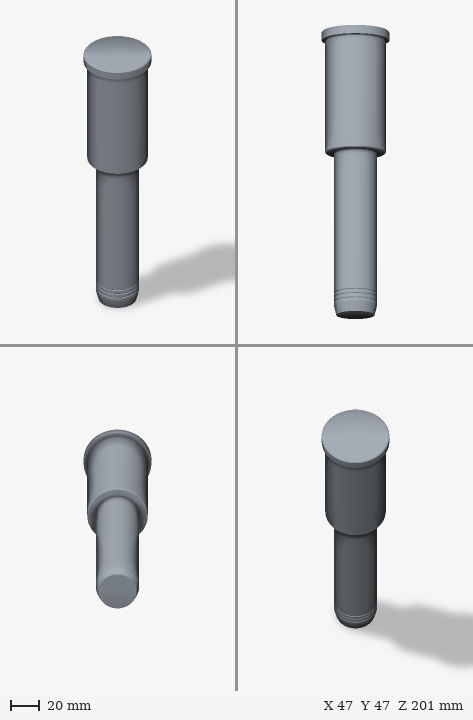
import cadquery as cq

total_length = 201.0
head_radius = 23.5
head_height = 6.0
body_radius = 21.0
body_bottom = 115.0
stem_radius = 14.97
edge_chamfer = 0.6

nose_height = 7.0
nose_tip_radius = 13.3
nose_mid_radius = 14.3

groove_depth = 0.5
groove_width = 1.0
groove_pitch = 3.0
groove_count = 3
lowest_groove_center = 9.5

head_bottom = total_length - head_height


def make_blank():
    """Revolve the stepped outline with its bulged nose around Z."""
    return (
        cq.Workplane("XZ")
        .lineTo(nose_tip_radius, 0)
        .threePointArc((nose_mid_radius, nose_height / 2), (stem_radius, nose_height))
        .lineTo(stem_radius, body_bottom)
        .lineTo(body_radius - edge_chamfer, body_bottom)
        .lineTo(body_radius, body_bottom + edge_chamfer)
        .lineTo(body_radius, head_bottom)
        .lineTo(head_radius, head_bottom)
        .lineTo(head_radius, total_length - edge_chamfer)
        .lineTo(head_radius - edge_chamfer, total_length)
        .lineTo(0, total_length)
        .close()
        .revolve(360, (0, 0, 0), (0, 1, 0))
    )


def groove_ring(shaft_radius, bottom):
    """V-section ring of material removed by one groove starting at the given height."""
    return (
        cq.Workplane("XZ")
        .moveTo(shaft_radius, bottom)
        .lineTo(shaft_radius - groove_depth, bottom + groove_width / 2)
        .lineTo(shaft_radius, bottom + groove_width)
        .close()
        .revolve(360, (0, 0, 0), (0, 1, 0))
    )


result = make_blank()

result = result.cut(groove_ring(body_radius, head_bottom - groove_width))
result = result.cut(groove_ring(stem_radius, body_bottom - groove_width))

for index in range(groove_count):
    center = lowest_groove_center + index * groove_pitch
    result = result.cut(groove_ring(stem_radius, center - groove_width / 2))